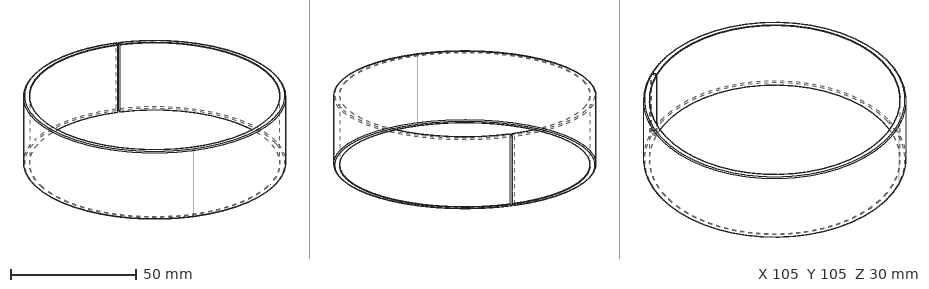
import cadquery as cq
import math

outer_diameter = 105.0
wall_thickness = 2.5
height = 30.0
outer_chamfer = 0.5
inner_chamfer = 0.2
slit_angle = 1.0

outer_radius = outer_diameter / 2
inner_radius = outer_radius - wall_thickness
slit_reach = outer_diameter


def make_ring():
    """Full ring around the Z axis, standing on Z = 0, chamfered on all four rims."""
    section = (
        cq.Workplane("XZ")
        .moveTo(inner_radius + inner_chamfer, 0)
        .lineTo(outer_radius - outer_chamfer, 0)
        .lineTo(outer_radius, outer_chamfer)
        .lineTo(outer_radius, height - outer_chamfer)
        .lineTo(outer_radius - outer_chamfer, height)
        .lineTo(inner_radius + inner_chamfer, height)
        .lineTo(inner_radius, height - inner_chamfer)
        .lineTo(inner_radius, inner_chamfer)
        .close()
    )
    return section.revolve(360, (0, 0, 0), (0, 1, 0))


def make_slit():
    """Radial wedge through the -X wall, from the plane Y = 0 towards +Y."""
    slit_rise = slit_reach * math.tan(math.radians(slit_angle))
    return (
        cq.Workplane("XY")
        .lineTo(-slit_reach, 0)
        .lineTo(-slit_reach, slit_rise)
        .close()
        .extrude(height)
    )


result = make_ring().cut(make_slit())